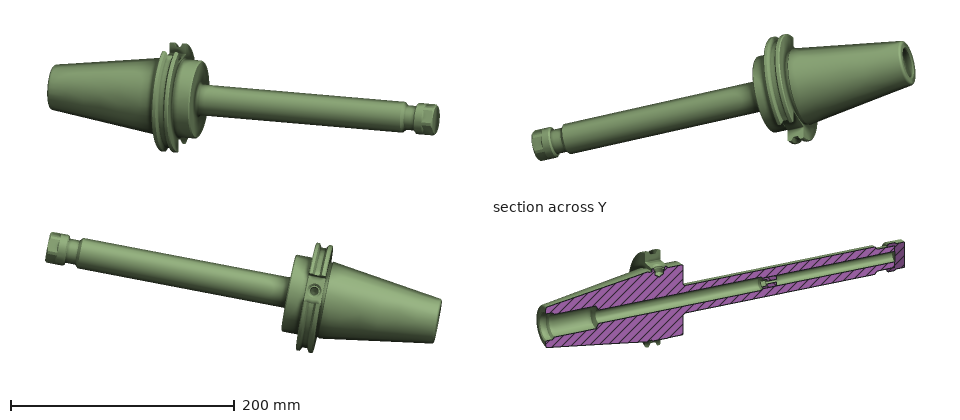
import cadquery as cq
import math

OVERALL_LENGTH = 355.7

TAPER_RATIO = 7 / 24
TAPER_LENGTH = 101.7
TAPER_LARGE_RADIUS = 70.0 / 2
TAPER_END_FILLET = 2.5
RELIEF_RADIUS = 34.0
RELIEF_STEP = 0.7

FLANGE_START = 105.0
FLANGE_END = 120.2
FLANGE_RADIUS = 98.2 / 2
FLANGE_CHAMFER = 0.9
GROOVE_CENTER = 112.8
GROOVE_BOTTOM_WIDTH = 4.3
GROOVE_BOTTOM_RADIUS = 45.5
GROOVE_FLANK_ANGLE = 30.0

COLLAR_END = 136.2
COLLAR_RADIUS = 70.0 / 2
COLLAR_ROOT_FILLET = 1.0
COLLAR_CHAMFER = 1.0
SHANK_RADIUS = 14.0
SHANK_ROOT_FILLET = 2.5
SHANK_END = 326.0
NECK_RADIUS = 11.0

SLOT_WIDTH = 26.0
SLOT_CORNER_FILLET = 0.7
UPPER_SLOT_FLOOR = 37.0
LOWER_SLOT_FLOOR = 35.2

SLOT_HOLE_RADIUS = 5.0
SLOT_HOLE_MOUTH_RADIUS = 6.5
SLOT_HOLE_CORE_RADIUS = 4.0
SLOT_HOLE_THREAD_DEPTH = 3.0
SLOT_HOLE_CORE_DEPTH = 7.0

BORE_MOUTH_RADIUS = 14.2
COUNTERBORE_RADIUS = 13.0
COUNTERBORE_DEPTH = 6.8
THREAD_BORE_RADIUS = 11.0
THREAD_BORE_DEPTH = 49.8
MID_BORE_RADIUS = 6.5
MID_BORE_END = 213.5
SCREW_RADIUS = 5.0
DRILL_POINT_HALF_ANGLE = 59.0

SCREW_LENGTH = 14.2
SOCKET_ACROSS_FLATS = 6.0
SOCKET_DEPTH = 4.3
COOLANT_HOLE_RADIUS = 1.15

NUT_START = 338.0
NUT_RADIUS = 28.0 / 2
NUT_REAR_CHAMFER = 1.25
NUT_FRONT_CHAMFER = 1.5
NUT_HEX_START = 345.8
NUT_ACROSS_FLATS = 25.5
NUT_SHOULDER_ANGLE = 45.0


def revolve_about_x(outline):
    """Turn a closed (x, radius) sketch on the XY plane about the X axis."""
    return outline.close().revolve(360, (0, 0, 0), (1, 0, 0))


def across_corners(across_flats):
    """Width over the corners of a regular hexagon."""
    return across_flats / math.cos(math.pi / 6)


def holder_blank():
    """Outer turned shape of the holder, still without bore and slots."""
    taper_small_radius = TAPER_LARGE_RADIUS - TAPER_LENGTH * TAPER_RATIO / 2
    neck_start = SHANK_END + SHANK_RADIUS - NECK_RADIUS
    outline = (
        cq.Workplane("XY")
        .lineTo(0, taper_small_radius)
        .lineTo(TAPER_LENGTH, TAPER_LARGE_RADIUS)
        .lineTo(TAPER_LENGTH + RELIEF_STEP, RELIEF_RADIUS)
        .lineTo(FLANGE_START, RELIEF_RADIUS)
        .lineTo(FLANGE_START, FLANGE_RADIUS - FLANGE_CHAMFER)
        .lineTo(FLANGE_START + FLANGE_CHAMFER, FLANGE_RADIUS)
        .lineTo(FLANGE_END - FLANGE_CHAMFER, FLANGE_RADIUS)
        .lineTo(FLANGE_END, FLANGE_RADIUS - FLANGE_CHAMFER)
        .lineTo(FLANGE_END, COLLAR_RADIUS + COLLAR_ROOT_FILLET)
        .radiusArc((FLANGE_END + COLLAR_ROOT_FILLET, COLLAR_RADIUS), -COLLAR_ROOT_FILLET)
        .lineTo(COLLAR_END - COLLAR_CHAMFER, COLLAR_RADIUS)
        .lineTo(COLLAR_END, COLLAR_RADIUS - COLLAR_CHAMFER)
        .lineTo(COLLAR_END, SHANK_RADIUS + SHANK_ROOT_FILLET)
        .radiusArc((COLLAR_END + SHANK_ROOT_FILLET, SHANK_RADIUS), -SHANK_ROOT_FILLET)
        .lineTo(SHANK_END, SHANK_RADIUS)
        .lineTo(neck_start, NECK_RADIUS)
        .lineTo(NUT_HEX_START, NECK_RADIUS)
        .lineTo(NUT_HEX_START, 0)
    )
    return revolve_about_x(outline).faces("<X").edges().fillet(TAPER_END_FILLET)


def flange_groove():
    """Ring that cuts the V groove around the flange."""
    depth = FLANGE_RADIUS - GROOVE_BOTTOM_RADIUS
    half_bottom = GROOVE_BOTTOM_WIDTH / 2
    half_top = half_bottom + depth * math.tan(math.radians(GROOVE_FLANK_ANGLE))
    outline = (
        cq.Workplane("XY")
        .moveTo(GROOVE_CENTER - half_bottom, GROOVE_BOTTOM_RADIUS)
        .lineTo(GROOVE_CENTER - half_top, FLANGE_RADIUS)
        .lineTo(GROOVE_CENTER + half_top, FLANGE_RADIUS)
        .lineTo(GROOVE_CENTER + half_bottom, GROOVE_BOTTOM_RADIUS)
    )
    return revolve_about_x(outline)


def drive_slot(floor_height):
    """Upward-facing slot through the flange with small fillets along its floor."""
    length = FLANGE_END - FLANGE_START
    height = FLANGE_RADIUS - floor_height
    slot = cq.Workplane("XY").box(length, SLOT_WIDTH, height, centered=(False, True, False))
    slot = slot.faces("<Z").edges("|X").fillet(SLOT_CORNER_FILLET)
    return slot.translate((FLANGE_START, 0, floor_height))


def slot_hole():
    """Countersunk, stepped blind hole going down from the upper slot floor."""
    countersink_depth = SLOT_HOLE_MOUTH_RADIUS - SLOT_HOLE_RADIUS
    point_depth = SLOT_HOLE_CORE_RADIUS / math.tan(math.radians(DRILL_POINT_HALF_ANGLE))
    return (
        cq.Workplane("XZ")
        .lineTo(SLOT_HOLE_MOUTH_RADIUS, 0)
        .lineTo(SLOT_HOLE_RADIUS, -countersink_depth)
        .lineTo(SLOT_HOLE_RADIUS, -SLOT_HOLE_THREAD_DEPTH)
        .lineTo(SLOT_HOLE_CORE_RADIUS, -SLOT_HOLE_THREAD_DEPTH)
        .lineTo(SLOT_HOLE_CORE_RADIUS, -SLOT_HOLE_CORE_DEPTH)
        .lineTo(0, -SLOT_HOLE_CORE_DEPTH - point_depth)
        .close()
        .revolve(360, (0, 0, 0), (0, 1, 0))
        .translate((GROOVE_CENTER, 0, UPPER_SLOT_FLOOR))
    )


def axial_bore():
    """Stepped bore through the whole holder."""
    mouth_depth = BORE_MOUTH_RADIUS - COUNTERBORE_RADIUS
    counterbore_taper = COUNTERBORE_RADIUS - THREAD_BORE_RADIUS
    point_taper = (THREAD_BORE_RADIUS - MID_BORE_RADIUS) / math.tan(math.radians(DRILL_POINT_HALF_ANGLE))
    screw_seat_taper = MID_BORE_RADIUS - SCREW_RADIUS
    outline = (
        cq.Workplane("XY")
        .lineTo(0, BORE_MOUTH_RADIUS)
        .lineTo(mouth_depth, COUNTERBORE_RADIUS)
        .lineTo(COUNTERBORE_DEPTH, COUNTERBORE_RADIUS)
        .lineTo(COUNTERBORE_DEPTH + counterbore_taper, THREAD_BORE_RADIUS)
        .lineTo(THREAD_BORE_DEPTH, THREAD_BORE_RADIUS)
        .lineTo(THREAD_BORE_DEPTH + point_taper, MID_BORE_RADIUS)
        .lineTo(MID_BORE_END, MID_BORE_RADIUS)
        .lineTo(MID_BORE_END + screw_seat_taper, SCREW_RADIUS)
        .lineTo(NUT_HEX_START, SCREW_RADIUS)
        .lineTo(NUT_HEX_START, 0)
    )
    return revolve_about_x(outline)


def make_holder():
    lower_slot = drive_slot(LOWER_SLOT_FLOOR).rotate((0, 0, 0), (1, 0, 0), 180)
    return (
        holder_blank()
        .cut(flange_groove())
        .cut(drive_slot(UPPER_SLOT_FLOOR))
        .cut(lower_slot)
        .cut(slot_hole())
        .cut(axial_bore())
    )


def make_stop_screw():
    """Plug at the start of the narrow bore, with its socket facing the taper end."""
    screw_start = MID_BORE_END + MID_BORE_RADIUS - SCREW_RADIUS
    start_plane = cq.Workplane("YZ", origin=(screw_start, 0, 0))
    body = start_plane.circle(SCREW_RADIUS).extrude(SCREW_LENGTH)
    socket = start_plane.polygon(6, across_corners(SOCKET_ACROSS_FLATS)).extrude(SOCKET_DEPTH)
    coolant_hole = start_plane.circle(COOLANT_HOLE_RADIUS).extrude(SCREW_LENGTH)
    return body.cut(socket).cut(coolant_hole)


def make_nut():
    """Round nut with six wrench flats that run out on a conical shoulder, closed over the holder neck."""
    start_plane = cq.Workplane("YZ", origin=(NUT_START, 0, 0))
    hex_plane = cq.Workplane("YZ", origin=(NUT_HEX_START, 0, 0))
    shoulder_depth = NUT_RADIUS - NUT_ACROSS_FLATS / 2
    hex_length = OVERALL_LENGTH - NUT_HEX_START
    body = start_plane.circle(NUT_RADIUS).extrude(OVERALL_LENGTH - NUT_START)
    body = body.faces("<X").chamfer(NUT_REAR_CHAMFER).faces(">X").chamfer(NUT_FRONT_CHAMFER)
    around = hex_plane.circle(2 * NUT_RADIUS).extrude(hex_length)
    hexagon = hex_plane.polygon(6, across_corners(NUT_ACROSS_FLATS)).extrude(hex_length)
    shoulder = hex_plane.circle(NUT_RADIUS).extrude(shoulder_depth, taper=NUT_SHOULDER_ANGLE)
    neck_recess = start_plane.circle(NECK_RADIUS).extrude(NUT_HEX_START - NUT_START)
    return body.cut(around.cut(hexagon).cut(shoulder)).cut(neck_recess)


holder = make_holder()
stop_screw = make_stop_screw()
nut = make_nut()

result = cq.Compound.makeCompound([holder.val(), stop_screw.val(), nut.val()])